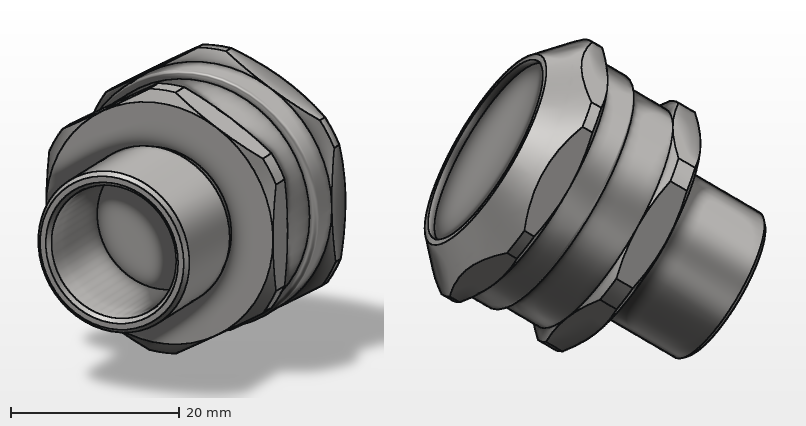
import cadquery as cq
import math


thread_dia = 20.0
relief_dia = 19.0
bore_dia = 16.5
spigot_chamfer = 0.5
thread_end = 12.0
shoulder_y = 13.0

body_flats = 30.0
body_dia = body_flats
body_hex_height = 4.0

nut_flats = 32.0
collar_dia = nut_flats
collar_start = 23.0
collar_fillet = 0.5
nut_hex_start = 27.0
nut_turn = 0.8

total_length = 33.79
end_face_dia = 26.0
recess_dia = 24.5
recess_depth = 0.9
crown_angle = 45.0

hex_sides = 6
flat_to_corner_angle = 180.0 / hex_sides
corner_ratio = 1.094
hex_chamfer_angle = 30.0


def revolved(points):
    """Solid of revolution about Y from (radius, y) points."""
    return cq.Workplane("XY").polyline(points).close().revolve(360, (0, 0, 0), (0, 1, 0))


def cylinder(diameter, start, end):
    """Solid cylinder along Y between two stations."""
    base = cq.Workplane("XZ", origin=(0, start, 0))
    return base.circle(diameter / 2).extrude(start - end)


def cone_rise(flat_radius, corner_radius, angle):
    """Axial length of a cone that runs between two radii."""
    return (corner_radius - flat_radius) * math.tan(math.radians(angle))


def hexagon(flats, start, end, front_dia, back_dia, back_angle, turn=0.0):
    """Hexagon with flats facing +-X, rounded corners and a conical bevel at both ends."""
    prism = (
        cq.Workplane("XZ", origin=(0, start, 0))
        .polygon(hex_sides, flats / math.cos(math.radians(flat_to_corner_angle)))
        .extrude(start - end)
        .rotate((0, 0, 0), (0, 1, 0), flat_to_corner_angle - turn)
    )
    corner_radius = flats * corner_ratio / 2
    front_rise = cone_rise(front_dia / 2, corner_radius, hex_chamfer_angle)
    back_rise = cone_rise(back_dia / 2, corner_radius, back_angle)
    envelope = revolved([
        (0, start),
        (front_dia / 2, start),
        (corner_radius, start + front_rise),
        (corner_radius, end - back_rise),
        (back_dia / 2, end),
        (0, end),
    ])
    return prism.intersect(envelope)


def make_spigot():
    """Threaded spigot with chamfered ends and a relief groove at the shoulder."""
    thread = cylinder(thread_dia, 0, thread_end).edges().chamfer(spigot_chamfer)
    return thread.union(cylinder(relief_dia, spigot_chamfer, shoulder_y))


def make_body():
    """Fixed hexagon followed by the round body."""
    hex_end = shoulder_y + body_hex_height
    body_hex = hexagon(body_flats, shoulder_y, hex_end, body_dia, body_dia, hex_chamfer_angle)
    return body_hex.union(cylinder(body_dia, shoulder_y, collar_start))


def make_nut():
    """Round collar, hexagon and the conical crown at the sealing end."""
    collar = cylinder(collar_dia, collar_start, nut_hex_start).faces("<Y").edges().fillet(collar_fillet)
    nut_hex = hexagon(
        nut_flats, nut_hex_start, total_length, collar_dia, end_face_dia, crown_angle, nut_turn
    )
    return collar.union(nut_hex)


def make_bore():
    """Blind bore up to the shoulder, with a chamfered mouth."""
    radius = bore_dia / 2
    return revolved([
        (0, 0),
        (radius + spigot_chamfer, 0),
        (radius, spigot_chamfer),
        (radius, shoulder_y),
        (0, shoulder_y),
    ])


recess = cylinder(recess_dia, total_length - recess_depth, total_length)

result = make_spigot().union(make_body()).union(make_nut()).cut(make_bore()).cut(recess)